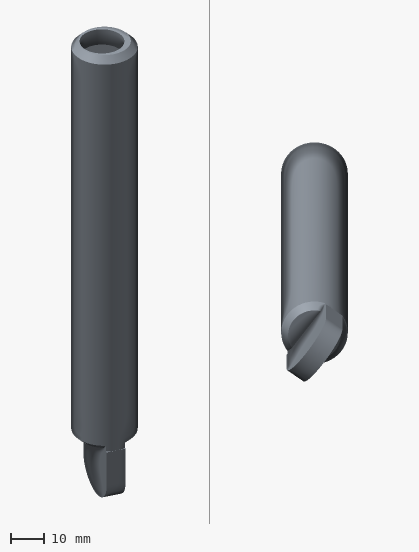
import cadquery as cq

total_length = 160.0
rod_diameter = 20.0
end_chamfer = 2.0
bore_diameter = 13.5
bore_depth = 5.5
bore_offset_y = -0.8
tongue_length = 20.0
tongue_thickness = 6.0
tip_height = 8.0

rod_radius = rod_diameter / 2
rod_length = total_length - tongue_length


def make_rod():
    """Round rod chamfered at both ends, with an off-centre blind bore in the top."""
    return (
        cq.Workplane("XY")
        .workplane(offset=tongue_length)
        .circle(rod_radius)
        .extrude(rod_length)
        .faces("<Z or >Z")
        .chamfer(end_chamfer)
        .faces(">Z")
        .workplane()
        .center(0, bore_offset_y)
        .hole(bore_diameter, bore_depth)
    )


def make_neck():
    """Strip of full-radius rod that carries the tongue through the lower chamfer."""
    strip = cq.Workplane("XY").box(rod_diameter, tongue_thickness, end_chamfer, centered=(True, True, False))
    disc = cq.Workplane("XY").circle(rod_radius).extrude(end_chamfer)
    return strip.intersect(disc).translate((0, 0, tongue_length))


def make_tongue():
    """Flat tongue as wide as the rod, ending in a half-ellipse."""
    tip = (
        cq.Workplane("XZ", origin=(0, 0, tip_height))
        .ellipse(rod_radius, tip_height)
        .extrude(tongue_thickness / 2, both=True)
    )
    blade = (
        cq.Workplane("XY")
        .workplane(offset=tip_height)
        .box(rod_diameter, tongue_thickness, tongue_length - tip_height, centered=(True, True, False))
    )
    return blade.union(tip)


result = make_rod().union(make_neck()).union(make_tongue())